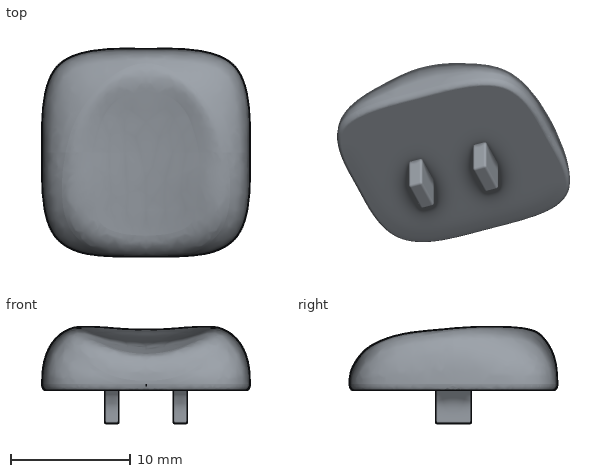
import math

import cadquery as cq

shapes = cq.occ_impl.shapes

CAP_WIDTH = 17.46
OUTLINE_POWER = 4.0
SEAM_HEIGHT = 0.55
UNDERSIDE_INSET = 0.35

DISH_CENTRE_HEIGHT = 4.05
DISH_TILT = 0.13

HALF_STATIONS = [
    (90.0, 7.50, 4.45, 48, 5.10, 5.00),
    (67.5, 7.06, 4.90, 42, 5.08, 4.97),
    (45.0, 6.60, 5.19, 30, 4.75, 4.92),
    (22.5, 6.50, 5.18, 28, 4.38, 4.88),
    (0.0, 6.75, 4.98, 30, 4.42, 4.82),
    (-22.5, 7.64, 4.50, 37, 4.80, 4.70),
    (-45.0, 9.00, 3.57, 53, 6.00, 4.35),
    (-56.0, 9.28, 2.66, 67, 6.95, 4.00),
    (-67.5, 9.20, 1.53, 75, 7.12, 3.52),
    (-90.0, 8.72, 0.81, 88, 6.95, 3.06),
]

WALL_FULLNESS = 0.37
LONGEST_WALL_HANDLE = 1.9
LIP_FULLNESS = 0.40

RINGS_PER_PATCH = 7
DISH_FLOOR_REACHES = (0.4, 0.8)
CROSS_STEPS = 4
SEW_TOLERANCE = 1e-3

STEM_PITCH = 5.75
STEM_WIDTH = 1.2
STEM_DEPTH = 3.0
STEM_LENGTH = 2.8
STEM_ROUNDING = 0.2
STEM_ROOT = 1.0


def bezier(p0, p1, p2, p3, t):
    """Point at t on a cubic Bezier curve."""
    s = 1 - t
    return p0 * s**3 + p1 * (3 * s * s * t) + p2 * (3 * s * t * t) + p3 * t**3


class Station:
    """Vertical profile of the cap in one direction from its axis."""

    def __init__(self, angle, rim_radius, rim_height, steepness, dish_radius, dish_height):
        self.angle = math.radians(angle)
        self.out = cq.Vector(math.cos(self.angle), math.sin(self.angle), 0)
        power_sum = abs(self.out.x) ** OUTLINE_POWER + abs(self.out.y) ** OUTLINE_POWER
        self.seam_radius = CAP_WIDTH / 2 / power_sum ** (1 / OUTLINE_POWER)
        self.seam = self.at(self.seam_radius, SEAM_HEIGHT)
        self.rim = self.at(rim_radius, rim_height)
        self.dish_edge = self.at(dish_radius, dish_height)
        slope = math.radians(steepness)
        self.rim_direction = self.at(-math.cos(slope), math.sin(slope))
        self.tilt_rise = DISH_TILT * self.dish_edge.y
        self.bowl_rise = dish_height - DISH_CENTRE_HEIGHT - self.tilt_rise
        self.dish_direction = self.at(dish_radius, self.tilt_rise + 2 * self.bowl_rise).normalized()

    def at(self, radius, height):
        return self.out * radius + cq.Vector(0, 0, height)

    def edge_roll(self, t):
        """Quarter ellipse from the underside up to the seam."""
        turn = t * math.pi / 2
        radius = self.seam_radius - UNDERSIDE_INSET * (1 - math.sin(turn))
        return self.at(radius, SEAM_HEIGHT * (1 - math.cos(turn)))

    def wall(self, t):
        """Side wall, leaving the seam upright and leaning in to the rim."""
        handle = min(WALL_FULLNESS * (self.rim - self.seam).Length, LONGEST_WALL_HANDLE)
        lower = self.seam + cq.Vector(0, 0, handle)
        upper = self.rim - self.rim_direction * handle
        return bezier(self.seam, lower, upper, self.rim, t)

    def lip(self, t):
        """Rounded lip, tangent to the wall at the rim and to the dish."""
        handle = LIP_FULLNESS * (self.dish_edge - self.rim).Length
        outer = self.rim + self.rim_direction * handle
        inner = self.dish_edge + self.dish_direction * handle
        return bezier(self.rim, outer, inner, self.dish_edge, t)

    def dish(self, s):
        """Dish floor at the fraction s of the way from the centre to its edge."""
        height = DISH_CENTRE_HEIGHT + self.tilt_rise * s + self.bowl_rise * s * s
        return cq.Vector(self.dish_edge.x * s, self.dish_edge.y * s, height)


STATIONS = [Station(*sizes) for sizes in HALF_STATIONS]


def mirrored_point(point):
    return cq.Vector(-point.x, point.y, point.z)


def half_ring(profile, t):
    """Back and front quarters of a smooth curve through one point of every +X station."""
    points = [profile(station, t) for station in STATIONS]
    turns = [math.pi / 2 - station.angle for station in STATIONS]
    end_tangents = [cq.Vector(points[0].y, 0, 0), cq.Vector(points[-1].y, 0, 0)]
    curve = cq.Edge.makeSpline(points, tangents=end_tangents, parameters=turns, scale=False)
    return [curve.trim(0, math.pi / 2), curve.trim(math.pi / 2, math.pi)]


def with_mirror(half):
    """The +X shapes together with their -X mirror images."""
    return half + [shape.mirror("YZ") for shape in half]


def patch(profile):
    """Four quarters of the smooth surface lofted through the rings of a profile."""
    steps = RINGS_PER_PATCH - 1
    half_rings = [half_ring(profile, step / steps) for step in range(RINGS_PER_PATCH)]
    return with_mirror([shapes.loft(list(quarters)) for quarters in zip(*half_rings)])


def make_dish():
    """Back and front halves of the dish floor, meeting along a parabola across the cap."""
    side = next(station for station in STATIONS if station.angle == 0)
    right_points = [side.dish(step / CROSS_STEPS) for step in range(CROSS_STEPS + 1)]
    left_points = [mirrored_point(point) for point in right_points[:0:-1]]
    cross_curve = cq.Edge.makeSpline(left_points + right_points)
    faces = []
    for quarter, y_sign in zip(half_ring(Station.dish, 1), (1, -1)):
        floor_points = []
        for station in STATIONS:
            if station.out.y * y_sign > SEW_TOLERANCE:
                for reach in DISH_FLOOR_REACHES:
                    point = station.dish(reach)
                    floor_points += [point, mirrored_point(point)]
        faces.append(cq.Face.makeNSidedSurface(with_mirror([quarter]) + [cross_curve], floor_points))
    return faces


def make_cap():
    underside_edges = with_mirror(half_ring(Station.edge_roll, 0))
    underside = cq.Face.makeFromWires(cq.Wire.combine(underside_edges)[0])
    sides = patch(Station.edge_roll) + patch(Station.wall) + patch(Station.lip)
    return shapes.solid(underside, *sides, *make_dish(), tol=SEW_TOLERANCE)


def make_stem(x):
    return (
        cq.Workplane("XY", origin=(x, 0, -STEM_LENGTH))
        .box(STEM_WIDTH, STEM_DEPTH, STEM_LENGTH + STEM_ROOT, centered=(True, True, False))
        .edges("|Z or <Z")
        .fillet(STEM_ROUNDING)
    )


body = cq.Workplane(make_cap())
for side in (-1, 1):
    body = body.union(make_stem(side * STEM_PITCH / 2))
result = cq.Workplane(body.solids().val())